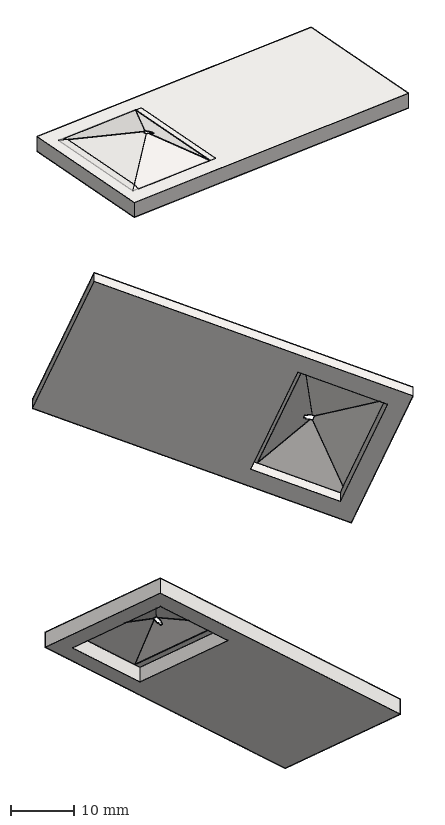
import cadquery as cq

plate_width = 25.4
plate_length = 54.8
plate_thickness = 2.75
overall_height = 5.25

pyramid_width = 19.4
pyramid_length = 15.4
pyramid_margin = 2.0
pyramid_front_y = pyramid_margin - plate_length / 2
pyramid_centre_y = pyramid_front_y + pyramid_length / 2
tip_width = 0.85
tip_length = 0.4
tip_front_y = -15.6
tip_centre_y = tip_front_y + tip_length / 2
skin = 0.1

setback = 1.15

tip_opening_length = 1.2
slot_width = 0.5
slot_length = 1.65


def frustum(base_z):
    """Pyramid with a small flat tip lying behind the base centre; its base is at base_z."""
    return (
        cq.Workplane("XY", origin=(0, pyramid_centre_y, base_z))
        .rect(pyramid_width, pyramid_length)
        .workplane(offset=overall_height - plate_thickness)
        .center(0, tip_centre_y - pyramid_centre_y)
        .rect(tip_width, tip_length)
        .loft(ruled=True)
    )


def make_plate():
    return cq.Workplane("XY").box(plate_width, plate_length, plate_thickness, centered=(True, True, False))


def make_cavity():
    """Pocket open at the bottom, with a pyramid roof that starts behind its front wall."""
    ceiling_z = plate_thickness - skin
    pocket_outline = cq.Sketch().rect(pyramid_width, pyramid_length)
    pocket_start = cq.Workplane("XY").center(0, pyramid_centre_y + setback)
    pocket = pocket_start.placeSketch(pocket_outline).extrude(ceiling_z)
    roof_limit = pocket_start.placeSketch(pocket_outline).extrude(overall_height)
    return pocket.union(frustum(ceiling_z).intersect(roof_limit))


def tip_cutter(width, length):
    return (
        cq.Workplane("XY")
        .box(width, length, overall_height, centered=(True, False, False))
        .translate((0, tip_front_y, 0))
    )


def make_tip_opening():
    """Opening through the tip, continued by a narrower slot into the rear face."""
    return tip_cutter(tip_width, tip_opening_length).union(tip_cutter(slot_width, slot_length))


result = make_plate().union(frustum(plate_thickness)).cut(make_cavity()).cut(make_tip_opening())